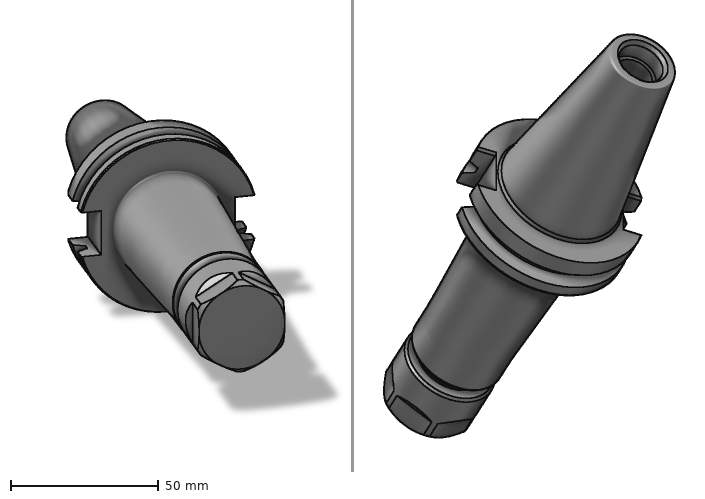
import cadquery as cq
import math

total_length = 182.6

shank_round = 1.3
taper_small_radius = 24.8 / 2
taper_large_radius = 44.4 / 2
taper_ratio = 7 / 24
taper_end = shank_round + 2 * (taper_large_radius - taper_small_radius) / taper_ratio
shank_face_radius = taper_small_radius - shank_round

flange_start = 69.4
flange_end = 87.3
flange_radius = 63.2 / 2
flange_root_radius = 23.0
flange_chamfer_length = 0.7
flange_chamfer_depth = 0.4
groove_center = 79.3
groove_top_width = 6.4
groove_floor_width = 2.2
groove_floor_radius = 27.8
slot_floor = 23.5
slot_width = 16.0
slot_edge_chamfer = 1.0

fillet_radius = 1.0
body_start = flange_end + fillet_radius
body_large_radius = 19.5
body_small_radius = 33.8 / 2
collar_start = 144.8
collar_chamfer_start = 155.6
collar_line_length = 0.5
collar_relief = 0.2
neck_radius = 24.8 / 2
neck_start = 159.8

nut_start = 160.7
nut_radius = 33.6 / 2
nut_chamfer = 1.0
nut_end_chamfer = 1.6
hex_across_flats = 30.1
flat_start = 174.2
flat_shoulder_run = 2.5

mouth_radius = 9.3
mouth_depth = 1.5
counterbore_radius = 16.3 / 2
counterbore_depth = 7.3
thread_radius = 13.3 / 2
thread_depth = 29.2


def revolve_about_x(profile):
    return profile.close().revolve(360, (0, 0, 0), (1, 0, 0))


def make_body():
    """Outer turned shape, from the shank to the end of the nut."""
    groove_half_top = groove_top_width / 2
    groove_half_floor = groove_floor_width / 2
    round_offset = shank_round * math.sqrt(0.5)
    round_middle = (shank_round - round_offset, shank_face_radius + round_offset)
    fillet_offset = fillet_radius * (1 - math.sqrt(0.5))
    fillet_middle = (flange_end + fillet_offset, body_large_radius + fillet_offset)
    profile = (
        cq.Workplane("XY")
        .lineTo(0, shank_face_radius)
        .threePointArc(round_middle, (shank_round, taper_small_radius))
        .lineTo(taper_end, taper_large_radius)
        .lineTo(flange_start, flange_root_radius)
        .lineTo(flange_start, flange_radius)
        .lineTo(groove_center - groove_half_top, flange_radius)
        .lineTo(groove_center - groove_half_floor, groove_floor_radius)
        .lineTo(groove_center + groove_half_floor, groove_floor_radius)
        .lineTo(groove_center + groove_half_top, flange_radius)
        .lineTo(flange_end - flange_chamfer_length, flange_radius)
        .lineTo(flange_end, flange_radius - flange_chamfer_depth)
        .lineTo(flange_end, body_large_radius + fillet_radius)
        .threePointArc(fillet_middle, (body_start, body_large_radius))
        .lineTo(collar_start, body_small_radius)
        .lineTo(collar_chamfer_start - collar_line_length, body_small_radius)
        .lineTo(collar_chamfer_start, body_small_radius - collar_relief)
        .lineTo(neck_start, neck_radius)
        .lineTo(nut_start, neck_radius)
        .lineTo(nut_start, nut_radius - nut_chamfer)
        .lineTo(nut_start + nut_chamfer, nut_radius)
        .lineTo(total_length - nut_end_chamfer, nut_radius)
        .lineTo(total_length, nut_radius - nut_end_chamfer)
        .lineTo(total_length, 0)
    )
    return revolve_about_x(profile)


def make_drive_slot():
    """Cutter for the slot on the +Y side, widened at its shank-side edges."""
    half_width = slot_width / 2
    depth = flange_radius - slot_floor
    chamfer_end = flange_start + slot_edge_chamfer
    wide = half_width + slot_edge_chamfer
    return (
        cq.Workplane("XZ", origin=(0, slot_floor, 0))
        .moveTo(flange_start, -wide)
        .lineTo(chamfer_end, -half_width)
        .lineTo(flange_end, -half_width)
        .lineTo(flange_end, half_width)
        .lineTo(chamfer_end, half_width)
        .lineTo(flange_start, wide)
        .close()
        .extrude(-depth)
    )


def make_wrench_flat():
    """Cutter for the flat on the +Y side, with its sloping shoulder."""
    flat_height = hex_across_flats / 2
    return (
        cq.Workplane("XY")
        .moveTo(flat_start - flat_shoulder_run, nut_radius)
        .lineTo(flat_start, flat_height)
        .lineTo(total_length, flat_height)
        .lineTo(total_length, nut_radius)
        .close()
        .extrude(nut_radius, both=True)
    )


def make_bore():
    profile = (
        cq.Workplane("XY")
        .lineTo(0, mouth_radius)
        .lineTo(mouth_depth, counterbore_radius)
        .lineTo(counterbore_depth, counterbore_radius)
        .lineTo(counterbore_depth, thread_radius)
        .lineTo(thread_depth, thread_radius)
        .lineTo(thread_depth, 0)
    )
    return revolve_about_x(profile)


def cut_around_x(body, cutter, count):
    """Cut equally spaced copies of the cutter around the X axis."""
    for index in range(count):
        body = body.cut(cutter.rotate((0, 0, 0), (1, 0, 0), index * 360 / count))
    return body


result = make_body().cut(make_bore())
result = cut_around_x(result, make_drive_slot(), 2)
result = cut_around_x(result, make_wrench_flat(), 6)